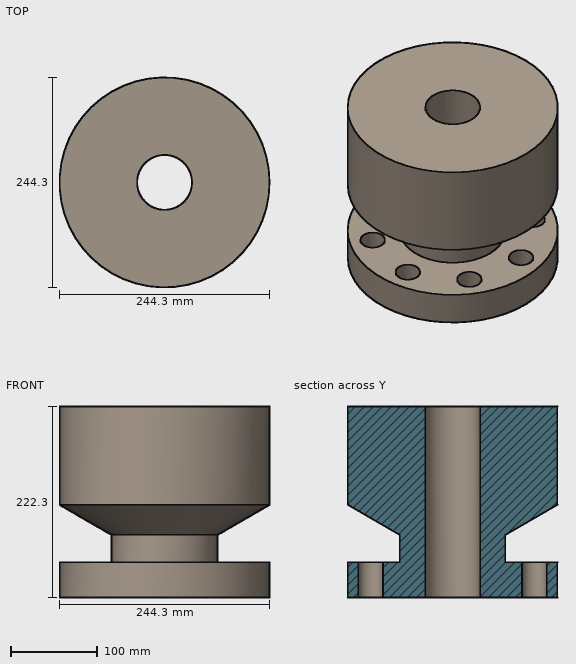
import cadquery as cq

outer_diameter = 244.3
total_height = 222.3

flange_thickness = 41.0
neck_height = 31.8
cone_height = 35.0

neck_diameter = 123.5
bore_diameter = 63.5

bolt_count = 8
bolt_circle_diameter = 190.0
bolt_hole_diameter = 28.3

outer_radius = outer_diameter / 2
neck_radius = neck_diameter / 2
neck_top = flange_thickness + neck_height
cone_top = neck_top + cone_height


def make_body():
    """Revolve the flange, neck, cone and head as one solid about Z."""
    half_profile = [
        (0, 0),
        (outer_radius, 0),
        (outer_radius, flange_thickness),
        (neck_radius, flange_thickness),
        (neck_radius, neck_top),
        (outer_radius, cone_top),
        (outer_radius, total_height),
        (0, total_height),
    ]
    return cq.Workplane("XZ").polyline(half_profile).close().revolve(360, (0, 0), (0, 1))


def make_bore():
    """Central hole through the full height."""
    return cq.Workplane("XY").circle(bore_diameter / 2).extrude(total_height)


def make_bolt_holes():
    """Ring of holes through the flange only; the first lies on +X."""
    return (
        cq.Workplane("XY")
        .polarArray(bolt_circle_diameter / 2, 0, 360, bolt_count)
        .circle(bolt_hole_diameter / 2)
        .extrude(flange_thickness)
    )


result = make_body().cut(make_bore()).cut(make_bolt_holes())